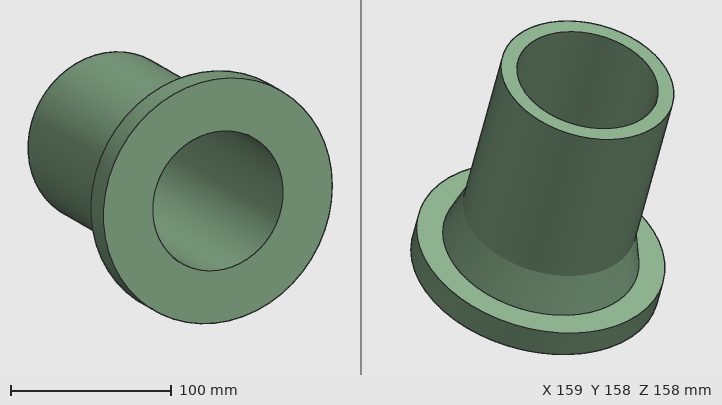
import cadquery as cq

total_length = 159.0
flange_thickness = 18.1
taper_length = 26.0
bore_diameter = 90.0
pipe_diameter = 110.0
taper_end_diameter = 125.0
flange_diameter = 158.0

pipe_end_x = -total_length / 2
flange_back_x = total_length / 2
flange_face_x = flange_back_x - flange_thickness
taper_start_x = flange_face_x - taper_length

half_section = (
    cq.Workplane("XY")
    .moveTo(pipe_end_x, bore_diameter / 2)
    .lineTo(pipe_end_x, pipe_diameter / 2)
    .lineTo(taper_start_x, pipe_diameter / 2)
    .lineTo(flange_face_x, taper_end_diameter / 2)
    .lineTo(flange_face_x, flange_diameter / 2)
    .lineTo(flange_back_x, flange_diameter / 2)
    .lineTo(flange_back_x, bore_diameter / 2)
    .close()
)

result = half_section.revolve(360, (0, 0, 0), (1, 0, 0))